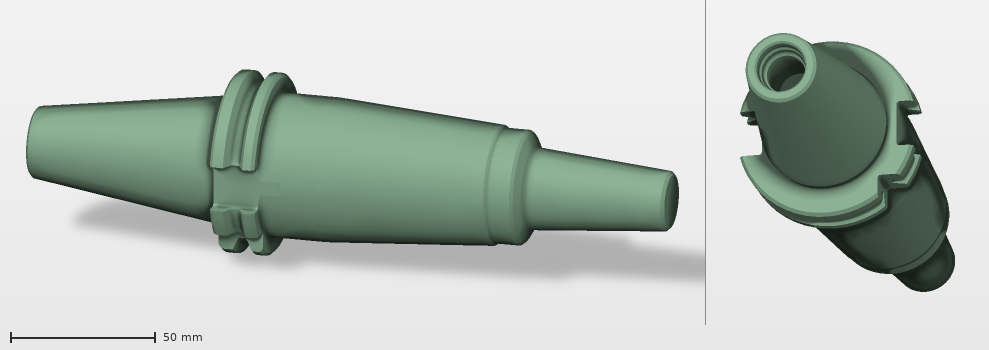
import cadquery as cq
import math

LENGTH = 228.2

GAUGE_X = 67.3
GAUGE_RADIUS = 44.5 / 2
TAPER_RATIO = 7 / 24
SHANK_CHAMFER = 1.0

NECK_RADIUS = 43.5 / 2
NECK_X = 68.7
NECK_FILLET = 0.5

FLANGE_X = 71.0
FLANGE_WIDTH = 16.0
FLANGE_RADIUS = 63.5 / 2
FLANGE_CHAMFER = 1.1
GROOVE_X = 79.5
GROOVE_FLOOR_WIDTH = 2.7
GROOVE_RADIUS = 28.0
GROOVE_FILLET = 0.7
GROOVE_FLANK_ANGLE = 30

BODY_RADIUS = 25.0
BODY_FILLET = 1.0
BODY_CONE_X = 107.0
BODY_CONE_END_X = 166.5
BODY_CONE_END_RADIUS = 21.0

COLLAR_X = 167.5
COLLAR_RADIUS = 20.0
COLLAR_END_X = 175.5
SHOULDER_X = 176.7
SHOULDER_RADIUS = 19.2
NOSE_X = 179.5
NOSE_RADIUS = 14.4
NOSE_END_RADIUS = 10.5
NOSE_FILLET = 1.4
NOSE_CHAMFER = 1.1

SLOT_WIDTH = 16.0
FRONT_FLAT_DEPTH = 0.125
FRONT_SLOT_FLOOR = BODY_RADIUS - FRONT_FLAT_DEPTH
BACK_SLOT_FLOOR = 22.5
SLOT_FILLET = 1.1
FLAT_END_X = 95.0
NOTCH_OFFSET = 18.3

COUNTERSINK_RADIUS = 9.4
COUNTERBORE_RADIUS = 8.7
COUNTERBORE_DEPTH = 4.5
RELIEF_RADIUS = 8.0
RELIEF_DEPTH = 7.8
THREAD_RADIUS = 6.8
THREAD_DEPTH = 29.7
DRILL_POINT_HALF_ANGLE = 60

FLANGE_END_X = FLANGE_X + FLANGE_WIDTH


def revolve_about_axis(points):
    """Revolve (x, radius) points, which start and end on the axis, about X."""
    return cq.Workplane("XY").polyline(points).close().revolve(360, (0, 0, 0), (1, 0, 0))


def circle_at(x):
    """Selector for the turned edge whose centre lies on the axis at x."""
    reach = FLANGE_RADIUS
    margin = 0.2
    return cq.selectors.BoxSelector((x - margin, -reach, -reach), (x + margin, reach, reach))


def make_shank_and_body():
    shank_end_radius = GAUGE_RADIUS - GAUGE_X * TAPER_RATIO / 2
    profile = (
        cq.Workplane("XY")
        .moveTo(0, 0)
        .lineTo(0, shank_end_radius - SHANK_CHAMFER)
        .lineTo(SHANK_CHAMFER, shank_end_radius + SHANK_CHAMFER * TAPER_RATIO / 2)
        .lineTo(GAUGE_X, GAUGE_RADIUS)
        .lineTo(NECK_X, NECK_RADIUS)
        .lineTo(FLANGE_X - NECK_FILLET, NECK_RADIUS)
        .radiusArc((FLANGE_X, NECK_RADIUS + NECK_FILLET), -NECK_FILLET)
        .lineTo(FLANGE_END_X, NECK_RADIUS + NECK_FILLET)
        .lineTo(FLANGE_END_X, BODY_RADIUS + BODY_FILLET)
        .radiusArc((FLANGE_END_X + BODY_FILLET, BODY_RADIUS), -BODY_FILLET)
        .lineTo(BODY_CONE_X, BODY_RADIUS)
        .lineTo(BODY_CONE_END_X, BODY_CONE_END_RADIUS)
        .lineTo(COLLAR_X, COLLAR_RADIUS)
        .lineTo(COLLAR_END_X, COLLAR_RADIUS)
        .lineTo(SHOULDER_X, SHOULDER_RADIUS)
        .lineTo(NOSE_X, NOSE_RADIUS)
        .lineTo(LENGTH - NOSE_CHAMFER, NOSE_END_RADIUS)
        .lineTo(LENGTH, NOSE_END_RADIUS - NOSE_CHAMFER)
        .lineTo(LENGTH, 0)
        .close()
    )
    turned = profile.revolve(360, (0, 0, 0), (1, 0, 0))
    return turned.edges(circle_at(NOSE_X)).fillet(NOSE_FILLET)


def make_flange():
    disc = (
        cq.Workplane("YZ", origin=(FLANGE_X, 0, 0))
        .circle(FLANGE_RADIUS)
        .extrude(FLANGE_WIDTH)
        .faces("<X or >X")
        .edges()
        .chamfer(FLANGE_CHAMFER)
    )
    floor_half = GROOVE_FLOOR_WIDTH / 2
    flank_slope = math.tan(math.radians(GROOVE_FLANK_ANGLE))
    outer_half = floor_half + (FLANGE_RADIUS - GROOVE_RADIUS) * flank_slope
    groove = revolve_about_axis([
        (GROOVE_X - outer_half, FLANGE_RADIUS),
        (GROOVE_X - floor_half, GROOVE_RADIUS),
        (GROOVE_X + floor_half, GROOVE_RADIUS),
        (GROOVE_X + outer_half, FLANGE_RADIUS),
    ])
    groove = groove.edges(circle_at(GROOVE_X - floor_half)).fillet(GROOVE_FILLET)
    groove = groove.edges(circle_at(GROOVE_X + floor_half)).fillet(GROOVE_FILLET)
    return disc.cut(groove)


def box_between(x_range, y_range, z_range):
    ranges = (x_range, y_range, z_range)
    size = [high - low for low, high in ranges]
    low_corner = tuple(low for low, high in ranges)
    return cq.Workplane("XY").box(*size, centered=False).translate(low_corner)


def make_drive_cut(floor, side):
    """Slot across the flange, plus a shallow flat on the body behind it."""
    reach = FLANGE_RADIUS
    y_range = sorted((side * floor, side * reach))
    floor_side = "<Y" if side > 0 else ">Y"
    z_range = (-SLOT_WIDTH / 2, SLOT_WIDTH / 2)
    slot = box_between((FLANGE_X, FLANGE_END_X + BODY_FILLET), y_range, z_range)
    slot = slot.faces(floor_side).edges("|X").fillet(SLOT_FILLET)
    flat = box_between((FLANGE_END_X, FLAT_END_X), y_range, (-reach, reach))
    return slot.union(flat)


def make_notch():
    """Square corner notch on the -Y, -Z side of the flange."""
    span = (-FLANGE_RADIUS, -NOTCH_OFFSET)
    notch = box_between((FLANGE_X, FLANGE_END_X), span, span)
    return notch.edges("|X and >Y and >Z").fillet(SLOT_FILLET)


def make_bore():
    point_length = THREAD_RADIUS / math.tan(math.radians(DRILL_POINT_HALF_ANGLE))
    return revolve_about_axis([
        (0, 0),
        (0, COUNTERSINK_RADIUS),
        (COUNTERSINK_RADIUS - COUNTERBORE_RADIUS, COUNTERBORE_RADIUS),
        (COUNTERBORE_DEPTH, COUNTERBORE_RADIUS),
        (COUNTERBORE_DEPTH + COUNTERBORE_RADIUS - RELIEF_RADIUS, RELIEF_RADIUS),
        (RELIEF_DEPTH, RELIEF_RADIUS),
        (RELIEF_DEPTH + RELIEF_RADIUS - THREAD_RADIUS, THREAD_RADIUS),
        (THREAD_DEPTH, THREAD_RADIUS),
        (THREAD_DEPTH + point_length, 0),
    ])


result = (
    make_shank_and_body()
    .union(make_flange())
    .cut(make_drive_cut(FRONT_SLOT_FLOOR, -1))
    .cut(make_drive_cut(BACK_SLOT_FLOOR, 1))
    .cut(make_notch())
    .cut(make_bore())
)